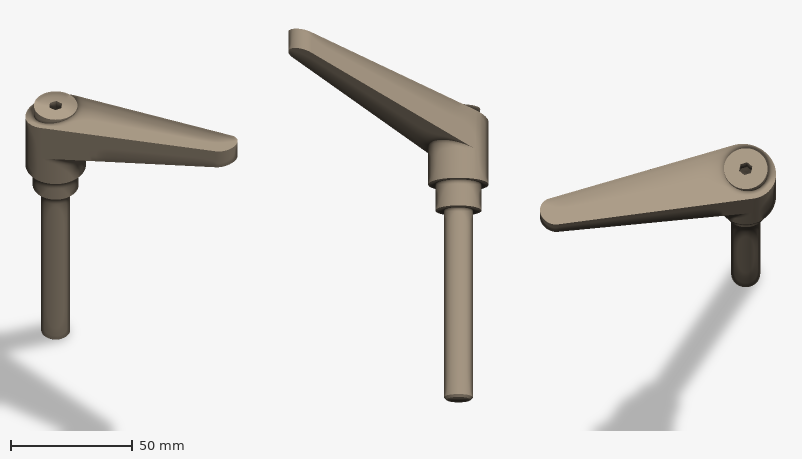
import cadquery as cq
import math

HUB_DIAMETER = 25.0
COLLAR_DIAMETER = 19.0
COLLAR_HEIGHT = 11.0
STUD_DIAMETER = 12.0
STUD_LENGTH = 80.0
STUD_CHAMFER = 1.0

ARM_REACH = 89.0
ARM_TIP_RADIUS = 6.0
ARM_TIP_TOP = 52.73
ARM_TOP_ANGLE = 15.0
ARM_UNDERSIDE_ANGLE = 20.0
ARM_UNDERSIDE_START = 12.2

CAP_DIAMETER = 18.0
CAP_TOP = 32.0
HEX_ACROSS_FLATS = 5.0
HEX_DEPTH = 5.0
DRILL_POINT_ANGLE = 120.0

hub_radius = HUB_DIAMETER / 2
tip_center = ARM_REACH - ARM_TIP_RADIUS
top_slope = math.tan(math.radians(ARM_TOP_ANGLE))
underside_slope = math.tan(math.radians(ARM_UNDERSIDE_ANGLE))


def top_height(x):
    """Height of the sloping top face at position x."""
    return ARM_TIP_TOP - (ARM_REACH - x) * top_slope


def underside_height(x):
    """Height of the sloping arm underside at position x."""
    return ARM_UNDERSIDE_START + x * underside_slope


def side_profile(points):
    """Polygon in the XZ plane, extruded evenly about Y = 0 across the hub width."""
    return cq.Workplane("XZ").polyline(points).close().extrude(hub_radius, both=True)


def make_hub():
    """Round hub with its top cut along the sloping top face."""
    envelope = side_profile([
        (-hub_radius, 0),
        (hub_radius, 0),
        (hub_radius, top_height(hub_radius)),
        (-hub_radius, top_height(-hub_radius)),
    ])
    cylinder = cq.Workplane("XY").circle(hub_radius).extrude(ARM_TIP_TOP)
    return cylinder.intersect(envelope)


def make_arm():
    """Arm with sides tangent to the hub and to the rounded tip, between two sloping faces."""
    tangent_sine = (hub_radius - ARM_TIP_RADIUS) / tip_center
    tangent_cosine = math.sqrt(1 - tangent_sine**2)
    root_x = hub_radius * tangent_sine
    root_y = hub_radius * tangent_cosine
    tip_x = tip_center + ARM_TIP_RADIUS * tangent_sine
    tip_y = ARM_TIP_RADIUS * tangent_cosine
    plan = (
        cq.Workplane("XY")
        .moveTo(root_x, -root_y)
        .lineTo(tip_x, -tip_y)
        .threePointArc((ARM_REACH, 0), (tip_x, tip_y))
        .lineTo(root_x, root_y)
        .close()
        .extrude(ARM_TIP_TOP)
    )
    envelope = side_profile([
        (0, underside_height(0)),
        (ARM_REACH, underside_height(ARM_REACH)),
        (ARM_REACH, top_height(ARM_REACH)),
        (0, top_height(0)),
    ])
    return plan.intersect(envelope)


def make_stud():
    """Collar below the hub and the stud with its chamfered end."""
    collar = cq.Workplane("XY").circle(COLLAR_DIAMETER / 2).extrude(-COLLAR_HEIGHT)
    stud = (
        cq.Workplane("XY", origin=(0, 0, -COLLAR_HEIGHT))
        .circle(STUD_DIAMETER / 2)
        .extrude(-STUD_LENGTH)
        .faces("<Z")
        .chamfer(STUD_CHAMFER)
    )
    return collar.union(stud)


def make_cap():
    """Round screw head standing out of the sloping top face."""
    return (
        cq.Workplane("XY", origin=(0, 0, top_height(-hub_radius)))
        .circle(CAP_DIAMETER / 2)
        .extrude(CAP_TOP - top_height(-hub_radius))
    )


def make_hex_socket():
    """Hexagonal socket with corners along X, its bottom cut by a cone through the corners."""
    corner_radius = HEX_ACROSS_FLATS / 2 / math.cos(math.pi / 6)
    cone_height = corner_radius / math.tan(math.radians(DRILL_POINT_ANGLE / 2))
    hexagon = (
        cq.Workplane("XY", origin=(0, 0, CAP_TOP))
        .polygon(6, 2 * corner_radius)
        .extrude(-HEX_DEPTH - cone_height)
    )
    drill_hole = (
        cq.Workplane("XZ", origin=(0, 0, CAP_TOP))
        .polyline([
            (0, 0),
            (corner_radius, 0),
            (corner_radius, -HEX_DEPTH),
            (0, -HEX_DEPTH - cone_height),
        ])
        .close()
        .revolve()
    )
    return hexagon.intersect(drill_hole)


lever = make_hub().union(make_arm()).union(make_stud()).union(make_cap())
result = lever.cut(make_hex_socket())